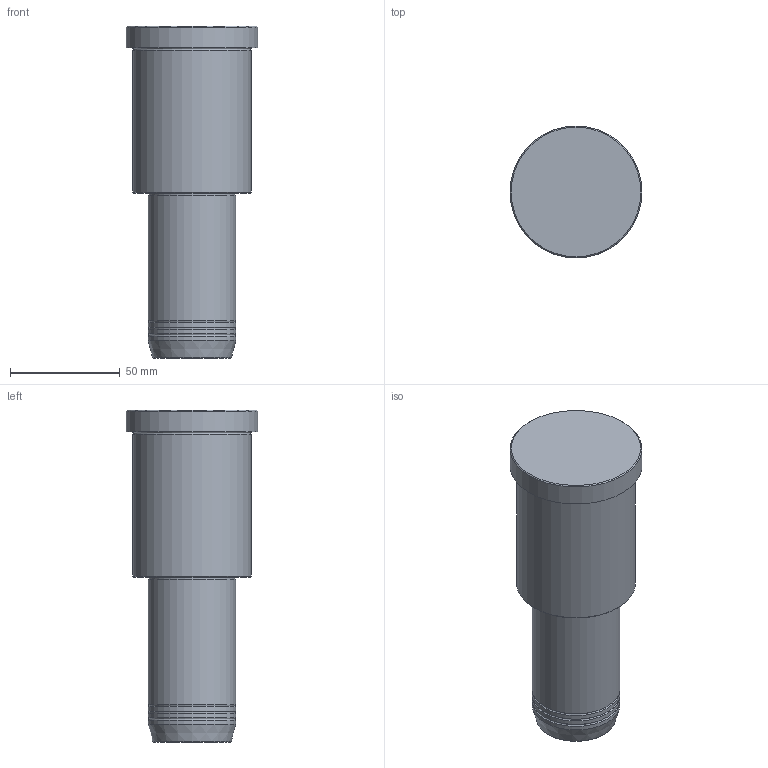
import cadquery as cq
import math

total_length = 151.0
head_radius = 30.0
head_height = 10.0
head_chamfer = 0.5
body_radius = 27.0
body_chamfer = 0.5
pin_radius = 20.0
pin_length = 75.0
head_bottom = total_length - head_height

relief_height = 1.0
relief_depth = 0.5
relief_bottom = pin_length - relief_height
relief_radius = pin_radius - relief_depth

taper_length = 8.0
taper_angle = math.radians(15)
tip_radius = pin_radius - taper_length * math.tan(taper_angle)
tip_fillet = 0.5

groove_radius = 0.5
lowest_groove_z = 10.5
groove_pitch = 3.0
groove_count = 3
head_groove_z = head_bottom - groove_radius


def cylinder(radius, bottom, top):
    """Solid cylinder on the Z axis between two heights."""
    return cq.Workplane("XY").workplane(offset=bottom).circle(radius).extrude(top - bottom)


def tapered_pin():
    """Lower pin with its conical, rounded tip and the relief under the body."""
    profile = [
        (0, 0),
        (tip_radius, 0),
        (pin_radius, taper_length),
        (pin_radius, relief_bottom),
        (relief_radius, relief_bottom),
        (relief_radius, pin_length),
        (0, pin_length),
    ]
    pin = cq.Workplane("XZ").polyline(profile).close().revolve(360, (0, 0), (0, 1))
    return pin.faces("<Z").edges().fillet(tip_fillet)


def groove_cutter(shaft_radius, middle_z):
    """Ring that cuts a half-round groove into a shaft of the given radius."""
    ring = cq.Solid.makeTorus(shaft_radius, groove_radius)
    return cq.Workplane(ring).translate((0, 0, middle_z))


pin = tapered_pin()
body = cylinder(body_radius, pin_length, head_bottom).faces("<Z").chamfer(body_chamfer)
head = cylinder(head_radius, head_bottom, total_length).faces(">Z").chamfer(head_chamfer)
result = pin.union(body).union(head)

for index in range(groove_count):
    groove_z = lowest_groove_z + index * groove_pitch
    result = result.cut(groove_cutter(pin_radius, groove_z))
result = result.cut(groove_cutter(body_radius, head_groove_z))

result = result.solids()